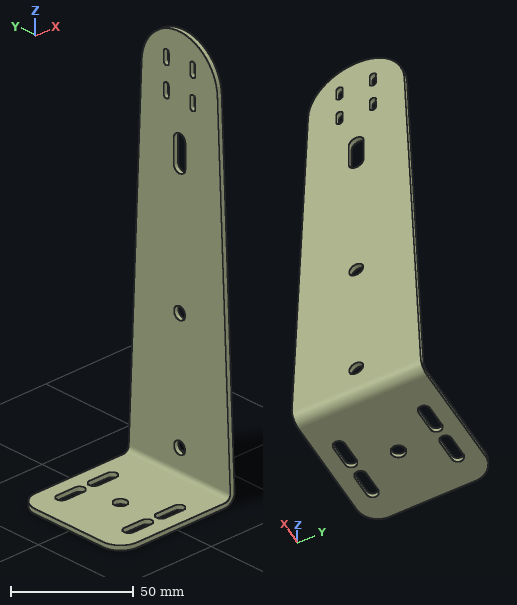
import cadquery as cq
import math

foot_length = 65.0
width = 60.0
height = 207.8
thickness = 2.5
bend_inner_radius = 3.1
bend_outer_radius = bend_inner_radius + thickness

foot_corner_radius = 10.0
tip_radius = 22.5

hole_diameter = 6.5
foot_hole_x = 29.0
upright_hole_heights = (15.5, 77.7)

foot_slot_length = 15.4
foot_slot_width = 5.2
foot_slot_pitch_x = 18.3
foot_slot_pitch_y = 39.7

long_slot_length = 18.5
long_slot_width = 6.9
long_slot_drop = 56.3
small_slot_length = 7.5
small_slot_width = 3.0
small_slot_pitch_y = 15.5
small_slot_pitch_z = 15.4
small_slot_drop = 22.5


def make_foot():
    """Flat plate from the free end at x = 0 to the start of the bend."""
    foot = cq.Workplane("XY").box(
        foot_length - bend_outer_radius, width, thickness, centered=(False, True, False)
    )
    return foot.edges("|Z and <X").fillet(foot_corner_radius)


def make_bend():
    """Quarter ring joining the foot to the upright."""
    center_x = foot_length - bend_outer_radius
    center_z = bend_outer_radius
    diagonal = math.sqrt(0.5)
    return (
        cq.Workplane("XZ")
        .moveTo(center_x, 0)
        .threePointArc(
            (center_x + bend_outer_radius * diagonal, center_z - bend_outer_radius * diagonal),
            (foot_length, center_z),
        )
        .lineTo(foot_length - thickness, center_z)
        .threePointArc(
            (center_x + bend_inner_radius * diagonal, center_z - bend_inner_radius * diagonal),
            (center_x, thickness),
        )
        .close()
        .extrude(width / 2, both=True)
    )


def upright_plane():
    """Sketch plane on the inner face: local x is Y, local y is Z."""
    return cq.Workplane("YZ", origin=(foot_length - thickness, 0, 0))


def make_upright():
    """Tapered plate whose straight sides run tangent into the round tip."""
    half_width = width / 2
    tip_center_z = height - tip_radius
    rise = tip_center_z - bend_outer_radius
    corner_angle = math.atan2(-rise, half_width)
    tangent_angle = corner_angle + math.acos(tip_radius / math.hypot(half_width, rise))
    tangent_y = tip_radius * math.cos(tangent_angle)
    tangent_z = tip_center_z + tip_radius * math.sin(tangent_angle)
    return (
        upright_plane()
        .moveTo(-half_width, bend_outer_radius)
        .lineTo(half_width, bend_outer_radius)
        .lineTo(tangent_y, tangent_z)
        .threePointArc((0, height), (-tangent_y, tangent_z))
        .close()
        .extrude(thickness)
    )


def foot_cuts():
    """Center hole and four slots along X."""
    hole = cq.Workplane("XY").center(foot_hole_x, 0).circle(hole_diameter / 2).extrude(thickness)
    slots = (
        cq.Workplane("XY")
        .center(foot_hole_x, 0)
        .rarray(foot_slot_pitch_x, foot_slot_pitch_y, 2, 2)
        .slot2D(foot_slot_length, foot_slot_width)
        .extrude(thickness)
    )
    return hole.union(slots)


def upright_cuts():
    """Two holes, one long slot and four small slots, the slots along Z."""
    holes = (
        upright_plane()
        .pushPoints([(0, z) for z in upright_hole_heights])
        .circle(hole_diameter / 2)
        .extrude(thickness)
    )
    long_slot = (
        upright_plane()
        .center(0, height - long_slot_drop)
        .slot2D(long_slot_length, long_slot_width, 90)
        .extrude(thickness)
    )
    small_slots = (
        upright_plane()
        .center(0, height - small_slot_drop)
        .rarray(small_slot_pitch_y, small_slot_pitch_z, 2, 2)
        .slot2D(small_slot_length, small_slot_width, 90)
        .extrude(thickness)
    )
    return holes.union(long_slot).union(small_slots)


bracket = make_foot().union(make_bend()).union(make_upright())
result = bracket.cut(foot_cuts()).cut(upright_cuts())